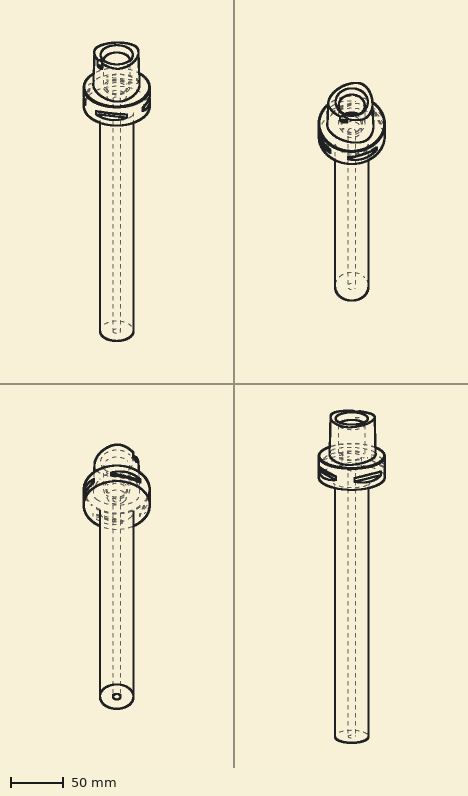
import cadquery as cq
import math

TOTAL_LENGTH = 326.0
TAPER_LENGTH = 38.0
FLANGE_HEIGHT = 22.2
FLANGE_TOP = TOTAL_LENGTH - TAPER_LENGTH
FLANGE_BOTTOM = FLANGE_TOP - FLANGE_HEIGHT

SHANK_RADIUS = 32.0 / 2
FLANGE_RADIUS = 63.0 / 2
NECK_FILLET = 7.5
NECK_CONE_RADIUS = 28.7
NECK_CONE_ANGLE = 15
FLANGE_CHAMFER = 0.5

LOBES = 3
LOBE_ECCENTRICITY = 1.4
TAPER_MEAN_RADIUS = 44.0 / 2
TAPER_RATIO = 1 / 20
TAPER_TOP_RADIUS = TAPER_MEAN_RADIUS - TAPER_LENGTH * TAPER_RATIO / 2
OUTLINE_POINTS = 36

DRILL_POINT_ANGLE = 118

MOUTH_RADIUS = 15.3
MOUTH_INNER_RADIUS = 14.7
MOUTH_DEPTH = 2.3
BORE_RADIUS = 12.5
BORE_START_DEPTH = 6.5
BORE_DEPTH = 38.0
PILOT_RADIUS = 9.0
PILOT_CHAMFER = 1.3
PILOT_DEPTH = 49.0
COOLANT_RADIUS = 3.5

SLOT_COUNT = 4
SLOT_FLOOR_DISTANCE = 27.7
SLOT_FLOOR_HEIGHT = 3.5
SLOT_SIDE_ANGLE = 28
SLOT_BELOW_FLANGE_TOP = 12.0

NOTCH_RADIUS = 5.0
NOTCH_DEPTH = 6.2
NOTCH_FLOOR_DISTANCE = 18.0


def make_body():
    """Shank, shallow neck cone with its fillet, and flange, turned about Z."""
    slope = math.radians(NECK_CONE_ANGLE)
    bend = math.pi / 4 + slope / 2
    fillet_top_radius = SHANK_RADIUS + NECK_FILLET * (1 - math.sin(slope))
    fillet_top = FLANGE_BOTTOM - (NECK_CONE_RADIUS - fillet_top_radius) * math.tan(slope)
    fillet_bottom = fillet_top - NECK_FILLET * math.cos(slope)
    fillet_middle = (
        SHANK_RADIUS + NECK_FILLET * (1 - math.sin(bend)),
        fillet_bottom + NECK_FILLET * math.cos(bend),
    )
    return (
        cq.Workplane("XZ")
        .lineTo(SHANK_RADIUS, 0)
        .lineTo(SHANK_RADIUS, fillet_bottom)
        .threePointArc(fillet_middle, (fillet_top_radius, fillet_top))
        .lineTo(NECK_CONE_RADIUS, FLANGE_BOTTOM)
        .lineTo(FLANGE_RADIUS, FLANGE_BOTTOM)
        .lineTo(FLANGE_RADIUS, FLANGE_TOP - FLANGE_CHAMFER)
        .lineTo(FLANGE_RADIUS - FLANGE_CHAMFER, FLANGE_TOP)
        .lineTo(0, FLANGE_TOP)
        .close()
        .revolve(360, (0, 0, 0), (0, 1, 0))
    )


def lobed_points(mean_radius):
    """Points on the smooth three-lobed outline, with one lobe on +Y and the first point on -Y.

    Its tangent line at each angle from +Y lies mean_radius + eccentricity * cos(3 * angle) from the axis.
    """
    points = []
    for step in range(OUTLINE_POINTS):
        angle = math.pi + 2 * math.pi * step / OUTLINE_POINTS
        along = mean_radius + LOBE_ECCENTRICITY * math.cos(LOBES * angle)
        across = -LOBES * LOBE_ECCENTRICITY * math.sin(LOBES * angle)
        x = -along * math.sin(angle) - across * math.cos(angle)
        y = along * math.cos(angle) - across * math.sin(angle)
        points.append((x, y))
    return points


def make_taper():
    """Tapered three-lobed shank standing on the flange."""
    return (
        cq.Workplane("XY")
        .workplane(offset=FLANGE_TOP)
        .spline(lobed_points(TAPER_MEAN_RADIUS), periodic=True)
        .close()
        .workplane(offset=TAPER_LENGTH)
        .spline(lobed_points(TAPER_TOP_RADIUS), periodic=True)
        .close()
        .loft(combine=True, ruled=True)
    )


def revolve_about_z(points):
    """Solid turned about Z from a closed outline of (radius, height) points."""
    return cq.Workplane("XZ").polyline(points).close().revolve(360, (0, 0, 0), (0, 1, 0))


def drill_point_length(radius, inner_radius=0.0):
    """Height of a drill point narrowing from radius to inner_radius."""
    return (radius - inner_radius) / math.tan(math.radians(DRILL_POINT_ANGLE / 2))


def make_bore():
    """Flared bore, drilled pilot hole with a conical end and through coolant hole."""
    bore_bottom = TOTAL_LENGTH - BORE_DEPTH
    pilot_bottom = TOTAL_LENGTH - PILOT_DEPTH
    point_length = drill_point_length(PILOT_RADIUS, COOLANT_RADIUS)
    profile = [
        (0, 0),
        (COOLANT_RADIUS, 0),
        (COOLANT_RADIUS, pilot_bottom - point_length),
        (PILOT_RADIUS, pilot_bottom),
        (PILOT_RADIUS, bore_bottom - PILOT_CHAMFER),
        (PILOT_RADIUS + PILOT_CHAMFER, bore_bottom),
        (BORE_RADIUS, bore_bottom),
        (BORE_RADIUS, TOTAL_LENGTH - BORE_START_DEPTH),
        (MOUTH_INNER_RADIUS, TOTAL_LENGTH - MOUTH_DEPTH),
        (MOUTH_RADIUS, TOTAL_LENGTH),
        (0, TOTAL_LENGTH),
    ]
    return revolve_about_z(profile)


def make_gripper_slot():
    """Straight slot with a flat floor and flared sides, cutting the flange on its +X side."""
    depth = FLANGE_RADIUS - SLOT_FLOOR_DISTANCE
    floor_half = SLOT_FLOOR_HEIGHT / 2
    mouth_half = floor_half + depth * math.tan(math.radians(SLOT_SIDE_ANGLE))
    middle = FLANGE_TOP - SLOT_BELOW_FLANGE_TOP
    return (
        cq.Workplane("XZ")
        .moveTo(SLOT_FLOOR_DISTANCE, middle - floor_half)
        .lineTo(FLANGE_RADIUS, middle - mouth_half)
        .lineTo(FLANGE_RADIUS, middle + mouth_half)
        .lineTo(SLOT_FLOOR_DISTANCE, middle + floor_half)
        .close()
        .extrude(FLANGE_RADIUS, both=True)
    )


def make_notch():
    """Drill shape, with its axis parallel to Z, that scallops the tapered shank."""
    shoulder = TOTAL_LENGTH - NOTCH_DEPTH
    profile = [
        (0, shoulder - drill_point_length(NOTCH_RADIUS)),
        (NOTCH_RADIUS, shoulder),
        (NOTCH_RADIUS, TOTAL_LENGTH),
        (0, TOTAL_LENGTH),
    ]
    return revolve_about_z(profile).translate((0, -NOTCH_FLOOR_DISTANCE - NOTCH_RADIUS, 0))


result = make_body().union(make_taper()).cut(make_bore()).cut(make_notch())
slot = make_gripper_slot()
for index in range(SLOT_COUNT):
    slot_angle = (index + 0.5) * 360 / SLOT_COUNT
    result = result.cut(slot.rotate((0, 0, 0), (0, 0, 1), slot_angle))